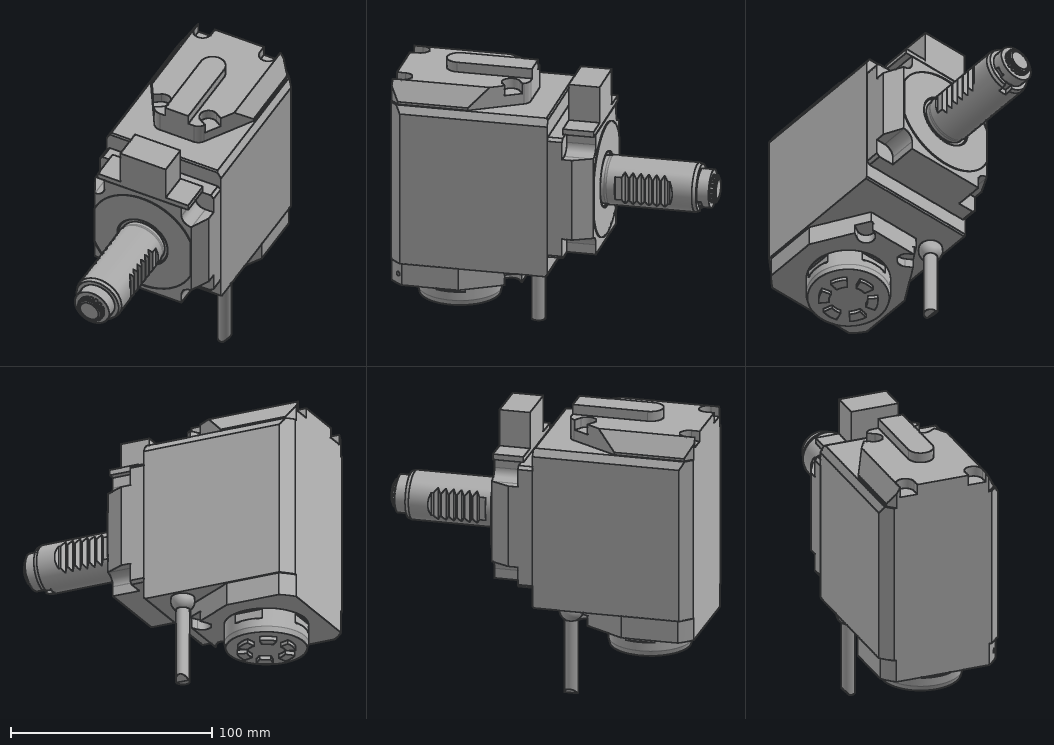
import cadquery as cq
import math


length = 161.0
half_width = 32.0
back_y = 103.5
tip_y = back_y - length
key_top_z = 58.0
rod_bottom_z = -87.6

body_front_y = 22.4
body_top_z = 41.9
body_bottom_z = -42.0
body_corner = 5.8
top_edge_x = 2.3
top_edge_z = 3.9
front_edge = 0.8

cover_top_z = 52.8
cover_half_width = 28.8
cover_top_half_width = 23.0
cover_rim_z = 43.1
cover_corner = 4.0
cover_front_y = 36.2
cover_taper_y = 63.6
cover_nose_half_width = 12.4
cover_nose_radius = 5.0

pocket_d = 9.2
pocket_radius = pocket_d / 2
pocket_depth = 5.3
back_pocket_x = 18.4
back_pocket_y = 99.2
nose_pocket_x = 13.0
nose_pocket_y = 45.4
key_width = 13.0
key_back_y = 81.1

plate_bottom_z = -53.8
plate_half_width = 31.0
plate_taper_y = 68.0
plate_front_y = 39.8
plate_front_half_width = 14.7
plate_corner_radius = 38.3
pin_hole_d = 2.1
pin_hole_depth = 1.6
pin_hole_y = 99.2
pin_hole_z = -48.5

nut_y = 74.5
nut_d = 42.0
nut_flat_distance = 39.3
nut_flat_top_z = -54.3
nut_flat_bottom_z = -59.1
nut_cone_z = -63.5
nut_bottom_z = -66.3
nut_bottom_d = 40.5
lug_bottom_z = -68.5
lug_outer_d = 29.5
lug_inner_d = 19.3
lug_count = 6
lug_angle = 34.0

rod_x = 24.6
rod_y = 40.4
rod_d = 7.0
rod_bevel = 2.9
ball_d = 12.0
ball_z = -43.6

flange_half_width = 31.9
flange_half_height = 32.0
flange_step_y = 14.8
flange_corner = 1.6
flange_taper_x = 4.8
flange_taper_y = 9.8
corner_pocket_x = 21.5
corner_pocket_z = 21.3
corner_pocket_radius = 5.5
disc_d = 58.3
disc_height = 0.5
disc_half_width = 26.9

block_front_y = 0.2
block_back_y = 16.0
block_half_width = 12.7
block_top_z = 54.0
ledge_half_width = 25.3
ledge_top_z = 35.0

shank_d = 25.0
shank_end_y = -48.6
neck_d = 24.2
neck_end_y = -1.6
neck_cone_y = -2.9
shank_edge = 0.6
shank_edge_length = 2.0
ring_recess_d = 28.5
ring_recess_depth = 0.8
ring_recess_edge = 0.5

tooth_flat_x = 11.0
tooth_root_x = 9.3
tooth_flat_start_y = -7.2
tooth_flat_end_y = -35.3
tooth_first_root_y = -12.0
tooth_pitch = 4.0
tooth_count = 6
tooth_back_run = 1.5
tooth_front_run = 2.0

slot_width = 4.2
slot_top_z = -9.0
slot_length = 4.7
spigot_d = 19.3
spigot_end_y = -54.5
notch_width = 4.7
notch_length = 2.0
notch_depth = 0.8
notch_angle = 44.0
spline_d = 14.0
spline_root_d = 12.0
spline_end_y = -56.5
spline_teeth = 16
tooth_root_share = 0.8
tooth_tip_share = 0.5
spline_tip_d = 10.3
spline_tip_edge = 0.5


def box(x0, x1, y0, y1, z0, z1):
    """Box between opposite corners."""
    return cq.Workplane("XY").box(x1 - x0, y1 - y0, z1 - z0, centered=False).translate((x0, y0, z0))


def symmetric_box(half_x, y0, y1, z0, z1):
    """Box centred on X = 0."""
    return box(-half_x, half_x, y0, y1, z0, z1)


def mirrored_outline(right_half):
    """Closed outline from the points of its +X half."""
    left_half = [(-x, y) for x, y in reversed(right_half)]
    return right_half + left_half


def prism_z(points, z0, z1):
    """Outline in X and Y, raised from z0 to z1."""
    return cq.Workplane("XY").workplane(offset=z0).polyline(points).close().extrude(z1 - z0)


def prism_y(points, y0, y1):
    """Outline in X and Z, extended from y0 to y1."""
    return cq.Workplane("XZ", origin=(0, y0, 0)).polyline(points).close().extrude(y0 - y1)


def cylinder_z(x, y, diameter, z0, z1):
    """Cylinder along Z."""
    return cq.Workplane("XY", origin=(x, y, z0)).circle(diameter / 2).extrude(z1 - z0)


def cylinder_y(diameter, y0, y1):
    """Cylinder on the shank axis."""
    return cq.Workplane("XZ", origin=(0, y0, 0)).circle(diameter / 2).extrude(y0 - y1)


def turned_y(points):
    """Solid of revolution about the shank axis from (radius, y) points."""
    return cq.Workplane("XY").polyline(points).close().revolve(360, (0, 0), (0, 1))


def make_body():
    plan = mirrored_outline([
        (half_width, body_front_y),
        (half_width, back_y - body_corner),
        (half_width - body_corner, back_y),
    ])
    body = prism_z(plan, body_bottom_z, body_top_z)
    body = body.faces("<Y").edges("|X").chamfer(front_edge)
    section = mirrored_outline([
        (half_width, body_bottom_z),
        (half_width, body_top_z - top_edge_z),
        (half_width - top_edge_x, body_top_z),
    ])
    return body.intersect(prism_y(section, body_front_y, back_y))


def nose_pockets(z0, z1):
    """Screw pockets that open through the two slanted nose faces."""
    slope = math.degrees(math.atan2(
        cover_taper_y - cover_front_y, cover_half_width - cover_nose_half_width))
    pocket_run = 3 * pocket_radius
    pockets = cq.Workplane("XY")
    for side in (-1, 1):
        round_end = cylinder_z(0, 0, pocket_d, z0, z1)
        channel = box(0, pocket_run, -pocket_radius, pocket_radius, z0, z1)
        pocket = round_end.union(channel).rotate((0, 0, 0), (0, 0, 1), slope - 90)
        pocket = pocket.translate((nose_pocket_x, nose_pocket_y, 0))
        if side < 0:
            pocket = pocket.mirror("YZ")
        pockets = pockets.add(pocket)
    return pockets.combine()


def make_cover():
    plan = mirrored_outline([
        (cover_nose_half_width, cover_front_y),
        (cover_half_width, cover_taper_y),
        (cover_half_width, back_y - cover_corner),
        (cover_half_width - cover_corner, back_y),
    ])
    cover = prism_z(plan, body_top_z, cover_top_z)
    cover = cover.faces("<Y").edges("|Z").fillet(cover_nose_radius)
    section = mirrored_outline([
        (cover_half_width, body_top_z),
        (cover_half_width, cover_rim_z),
        (cover_top_half_width, cover_top_z),
    ])
    cover = cover.intersect(prism_y(section, cover_front_y, back_y))

    pocket_floor_z = cover_top_z - pocket_depth
    for x in (-back_pocket_x, back_pocket_x):
        cover = cover.cut(cylinder_z(x, back_pocket_y, pocket_d, pocket_floor_z, cover_top_z))
        cover = cover.cut(box(x - pocket_radius, x + pocket_radius,
                              back_pocket_y, back_y, pocket_floor_z, cover_top_z))
    return cover.cut(nose_pockets(pocket_floor_z, cover_top_z))


def make_key():
    key_round_y = key_back_y - key_width / 2
    bar = symmetric_box(key_width / 2, cover_front_y, key_round_y, cover_top_z, key_top_z)
    return bar.union(cylinder_z(0, key_round_y, key_width, cover_top_z, key_top_z))


def make_plate():
    plan = mirrored_outline([
        (plate_front_half_width, plate_front_y),
        (plate_half_width, plate_taper_y),
        (plate_half_width, back_y),
    ])
    plate = prism_z(plan, plate_bottom_z, body_bottom_z)
    back_limit = cylinder_z(0, nut_y, 2 * plate_corner_radius, plate_bottom_z, body_bottom_z)
    front_limit = symmetric_box(half_width, plate_front_y, nut_y, plate_bottom_z, body_bottom_z)
    plate = plate.intersect(back_limit.union(front_limit))
    plate = plate.cut(nose_pockets(plate_bottom_z, plate_bottom_z + pocket_depth))

    hole_angle = math.asin((pin_hole_y - nut_y) / plate_corner_radius)
    outward = cq.Vector(-math.cos(hole_angle), math.sin(hole_angle), 0)
    hole_floor = cq.Vector(0, nut_y, pin_hole_z) + outward * (plate_corner_radius - pin_hole_depth)
    hole = cq.Solid.makeCylinder(pin_hole_d / 2, 2 * pin_hole_depth, hole_floor, outward)
    return plate.cut(cq.Workplane(hole))


def make_nut():
    nut = cylinder_z(0, nut_y, nut_d, nut_cone_z, plate_bottom_z)
    cone = (
        cq.Workplane("XY", origin=(0, nut_y, nut_cone_z)).circle(nut_d / 2)
        .workplane(offset=nut_bottom_z - nut_cone_z).circle(nut_bottom_d / 2).loft()
    )
    nut = nut.union(cone)
    flat_band = cylinder_z(0, nut_y, nut_d, nut_flat_bottom_z, nut_flat_top_z)
    square = cq.Workplane("XY", origin=(0, nut_y, nut_flat_bottom_z))
    square = square.rect(nut_flat_distance, nut_flat_distance).extrude(nut_flat_top_z - nut_flat_bottom_z)
    nut = nut.cut(flat_band.cut(square))

    ring = cylinder_z(0, 0, lug_outer_d, lug_bottom_z, nut_bottom_z)
    ring = ring.cut(cylinder_z(0, 0, lug_inner_d, lug_bottom_z, nut_bottom_z))
    reach = lug_outer_d
    spread = reach * math.tan(math.radians(lug_angle / 2))
    sector = prism_z([(0, 0), (reach, -spread), (reach, spread)], lug_bottom_z, nut_bottom_z)
    lug = ring.intersect(sector)
    step = 360 / lug_count
    for i in range(lug_count):
        turned_lug = lug.rotate((0, 0, 0), (0, 0, 1), (i + 0.5) * step)
        nut = nut.union(turned_lug.translate((0, nut_y, 0)))
    return nut


def make_rod():
    rod = cylinder_z(rod_x, rod_y, rod_d, rod_bottom_z, ball_z)
    edge_x = rod_x + rod_d / 2
    bevel = prism_y([
        (edge_x, rod_bottom_z),
        (edge_x - rod_bevel, rod_bottom_z),
        (edge_x, rod_bottom_z + rod_bevel),
    ], rod_y - rod_d, rod_y + rod_d)
    ball = cq.Workplane("XY").sphere(ball_d / 2).translate((rod_x, rod_y, ball_z))
    return rod.cut(bevel).union(ball)


def make_flange():
    flange = symmetric_box(flange_half_width, 0, body_front_y,
                           -flange_half_height, flange_half_height)
    flange = flange.edges("|Y").chamfer(flange_corner)
    plan = mirrored_outline([
        (flange_half_width - flange_taper_x, 0),
        (flange_half_width, flange_taper_y),
        (flange_half_width, body_front_y),
    ])
    flange = flange.intersect(prism_z(plan, -flange_half_height, flange_half_height))

    pocket = box(corner_pocket_x, flange_half_width, 0, flange_step_y,
                 corner_pocket_z, flange_half_height)
    pocket = pocket.edges("|Y and <X and <Z").fillet(corner_pocket_radius)
    for corner in (pocket, pocket.mirror("YZ")):
        flange = flange.cut(corner).cut(corner.mirror("XY"))

    disc = cylinder_y(disc_d, -disc_height, 0)
    disc = disc.intersect(symmetric_box(disc_half_width, -disc_height, 0, -disc_d, disc_d))
    ledge = symmetric_box(ledge_half_width, block_front_y, block_back_y, flange_half_height, ledge_top_z)
    block = symmetric_box(block_half_width, block_front_y, block_back_y, flange_half_height, block_top_z)
    flange = flange.union(disc).union(ledge).union(block)

    ring_radius = ring_recess_d / 2
    recess = turned_y([
        (neck_d / 2, -disc_height),
        (ring_radius, -disc_height),
        (ring_radius - ring_recess_edge, -disc_height + ring_recess_edge),
        (ring_radius - ring_recess_edge, -disc_height + ring_recess_depth),
        (neck_d / 2, -disc_height + ring_recess_depth),
    ])
    return flange.cut(recess)


def clamping_cut():
    """Toothed flat on the +X side of the shank."""
    outer_x = shank_d / 2
    profile = [(outer_x, tooth_flat_start_y), (tooth_flat_x, tooth_flat_start_y)]
    for i in range(tooth_count):
        root_y = tooth_first_root_y - i * tooth_pitch
        profile += [
            (tooth_flat_x, root_y + tooth_back_run),
            (tooth_root_x, root_y),
            (tooth_flat_x, root_y - tooth_front_run),
        ]
    ramp_end_y = tooth_flat_end_y - (outer_x - tooth_flat_x)
    profile += [(tooth_flat_x, tooth_flat_end_y), (outer_x, ramp_end_y)]
    return prism_z(profile, -shank_d / 2, shank_d / 2)


def make_shank():
    radius = shank_d / 2
    shank = turned_y([
        (0, 0),
        (neck_d / 2, 0),
        (neck_d / 2, neck_end_y),
        (radius, neck_cone_y),
        (radius, shank_end_y + shank_edge_length),
        (radius - shank_edge, shank_end_y),
        (0, shank_end_y),
    ])
    toothed_side = clamping_cut()
    shank = shank.cut(toothed_side).cut(toothed_side.mirror("YZ"))
    slot = symmetric_box(slot_width / 2, shank_end_y, shank_end_y + slot_length, -radius, slot_top_z)
    return shank.cut(slot)


def make_spigot():
    spigot = cylinder_y(spigot_d, spigot_end_y, shank_end_y)
    notch = box(-spigot_d / 2, -spigot_d / 2 + notch_depth,
                shank_end_y - notch_length, shank_end_y, -notch_width / 2, notch_width / 2)
    notch = notch.rotate((0, 0, 0), (0, 1, 0), -notch_angle)
    return spigot.cut(notch)


def make_spline():
    core = cylinder_y(spline_root_d, tip_y, spigot_end_y)
    edge = (spline_root_d - spline_tip_d) / 2
    core = core.faces("<Y").chamfer(spline_tip_edge, edge)
    pitch_angle = 2 * math.pi / spline_teeth
    root_half = spline_root_d * pitch_angle * tooth_root_share / 4
    tip_half = spline_d * pitch_angle * tooth_tip_share / 4
    root_x = spline_tip_d / 2
    tooth = prism_y([
        (root_x, -root_half),
        (spline_d / 2, -tip_half),
        (spline_d / 2, tip_half),
        (root_x, root_half),
    ], spline_end_y, spigot_end_y)
    spline = core
    for i in range(spline_teeth):
        spline = spline.union(tooth.rotate((0, 0, 0), (0, 1, 0), i * 360 / spline_teeth))
    return spline


result = make_body()
for feature in (
    make_cover(), make_key(), make_plate(), make_nut(), make_rod(),
    make_flange(), make_shank(), make_spigot(), make_spline(),
):
    result = result.union(feature)